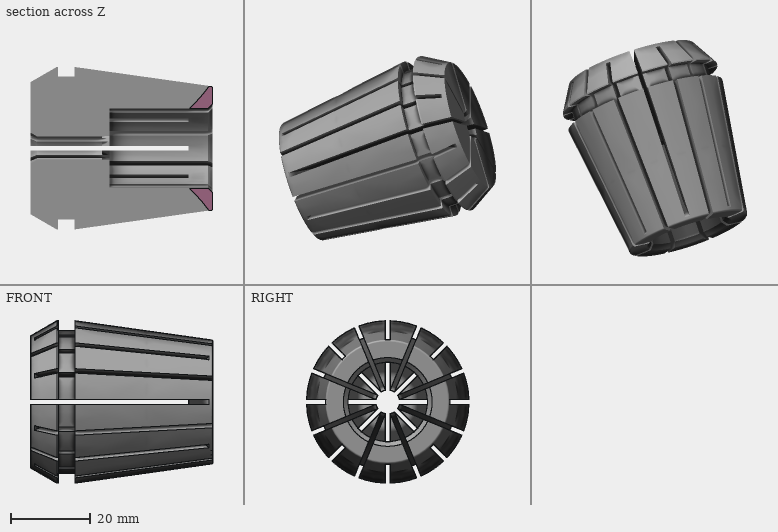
import cadquery as cq
import math

length = 46.0
max_radius = 20.5

nose_cone_angle = 30.0
nose_land_start = 6.67
nose_end = 7.0
nose_radius = max_radius - nose_land_start * math.tan(math.radians(nose_cone_angle))

groove_end = 11.15
groove_radius = 18.05

body_taper_angle = 8.0
body_taper = math.tan(math.radians(body_taper_angle))
rear_radius = max_radius - (length - groove_end) * body_taper
rear_edge_fillet = 0.5

bore_radius = 3.0
bore_length = 20.0
bore_mouth_width = 1.0
bore_mouth_angle = 30.0
bore_mouth_depth = bore_mouth_width / math.tan(math.radians(bore_mouth_angle))
relief_radius = 10.0
relief_mouth_width = 1.2

slots_per_end = 8
slot_pitch = 360.0 / slots_per_end
slot_width = 1.2
saw_radius = 38.0
front_slot_end = 45.0
rear_slot_end = 1.0
slot_overrun = 2.0


def revolved(points):
    """Solid of revolution about X from (x, radius) points."""
    return cq.Workplane("XY").polyline(points).close().revolve(360, (0, 0, 0), (1, 0, 0))


def make_body():
    outline = [
        (0, 0),
        (0, nose_radius),
        (nose_land_start, max_radius),
        (nose_end, max_radius),
        (nose_end, groove_radius),
        (groove_end, groove_radius),
        (groove_end, max_radius),
        (length, rear_radius),
        (length, 0),
    ]
    return revolved(outline).faces(">X").edges().fillet(rear_edge_fillet)


def make_bore():
    outline = [
        (0, 0),
        (0, bore_radius + bore_mouth_width),
        (bore_mouth_depth, bore_radius),
        (bore_length, bore_radius),
        (bore_length, relief_radius),
        (length - relief_mouth_width, relief_radius),
        (length, relief_radius + relief_mouth_width),
        (length, 0),
    ]
    return revolved(outline)


def make_slot(open_x, end_x, end_radius):
    """Radial slot from open_x down to the axis, closed by the saw's arc reaching end_x at end_radius."""
    direction = math.copysign(1.0, end_x - open_x)

    def saw_reach(radius):
        return math.sqrt(saw_radius**2 - (saw_radius - radius) ** 2)

    saw_center_x = end_x - direction * saw_reach(end_radius)

    def saw_point(radius):
        return (saw_center_x + direction * saw_reach(radius), radius)

    start_x = open_x - direction * slot_overrun
    outer_radius = max_radius + slot_overrun
    return (
        cq.Workplane("XY")
        .moveTo(start_x, 0)
        .lineTo(saw_center_x, 0)
        .threePointArc(saw_point(outer_radius / 2), saw_point(outer_radius))
        .lineTo(start_x, outer_radius)
        .close()
        .extrude(slot_width / 2, both=True)
    )


def cut_slots(body, slot, first_angle):
    for index in range(slots_per_end):
        body = body.cut(slot.rotate((0, 0, 0), (1, 0, 0), first_angle + index * slot_pitch))
    return body


front_slot_end_radius = max_radius - (front_slot_end - groove_end) * body_taper
rear_slot_end_radius = nose_radius + rear_slot_end * math.tan(math.radians(nose_cone_angle))
front_slot = make_slot(0, front_slot_end, front_slot_end_radius)
rear_slot = make_slot(length, rear_slot_end, rear_slot_end_radius)

result = make_body().cut(make_bore())
result = cut_slots(result, front_slot, 0)
result = cut_slots(result, rear_slot, slot_pitch / 2)